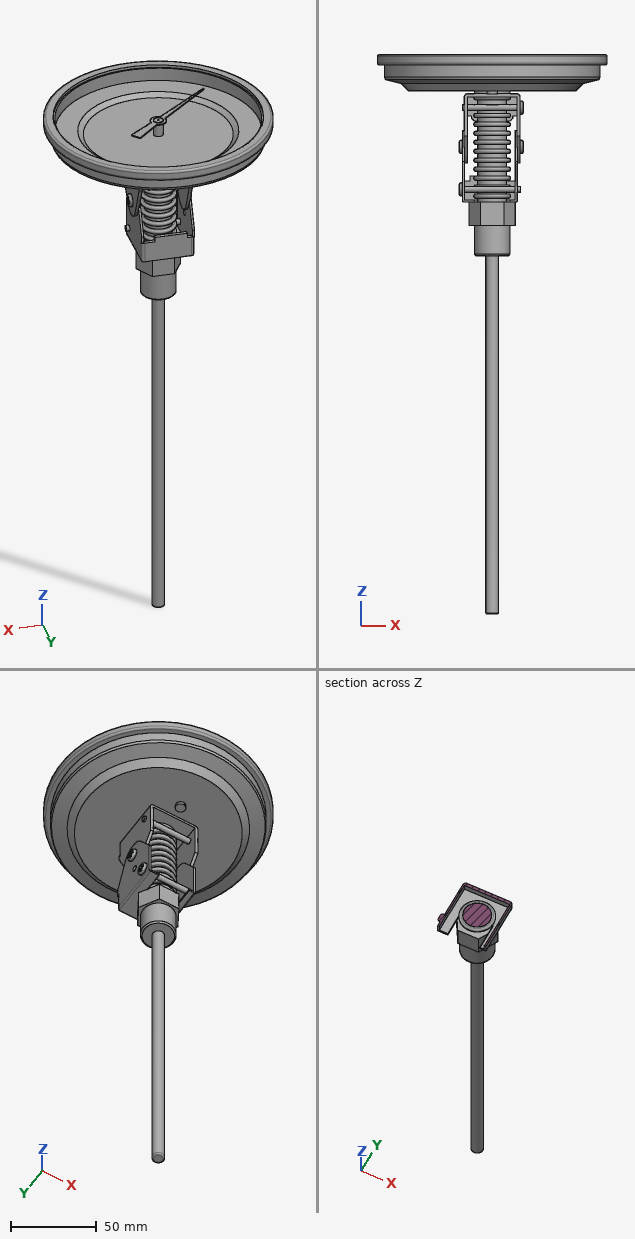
import cadquery as cq
import math

TOP_Z = 326.5
CASE_BOTTOM_Z = 305.5
UPPER_BRACKET_TOP_Z = 303.8
PIVOT_Z = 272.7
LOWER_BRACKET_BOTTOM_Z = 240.5
HEX_BOTTOM_Z = 226.7
COLLAR_BOTTOM_Z = 209.0

BEZEL_R = 134.2 / 2
BEZEL_HEIGHT = 6.2
BEZEL_ROUND = 1.3
CASE_R = 126.0 / 2
CASE_WALL_BOTTOM_Z = 313.5
CASE_EDGE_R = 62.5
CASE_EDGE_Z = 312.0
BACK_STEP_R = 53.2
BACK_STEP_Z = 309.5
BACK_R = 49.0
BACK_SCREW_D = 6.2
BACK_SCREW_Y = -24.2
BACK_SCREW_HEIGHT = 2.0

LIP_R = 122.8 / 2
DIAL_R = 121.0 / 2
LIP_DEPTH = 1.5
DIAL_Z = 317.0
DIAL_STEP_DEPTH = 2.3
DIAL_STEP_OUTER_R = 47.0
DIAL_STEP_INNER_R = 43.8

POINTER_Z = 323.0
POINTER_THICKNESS = 0.5
POINTER_ANGLE = 220.5
POINTER_TIP_R = 46.7
POINTER_ROOT_WIDTH = 3.5
POINTER_TIP_WIDTH = 0.5
TAIL_LENGTH = 23.2
TAIL_END_WIDTH = 6.2
HUB_D = 9.5
POST_D = 6.0
POST_TIP_HEIGHT = 0.3
POST_HOLE_D = 0.75
POST_HOLE_DEPTH = 1.0

STEM_D = 7.5
STEM_ROUND = 1.0
COLLAR_D = 21.0
COLLAR_CHAMFER = 1.0
HEX_ACROSS_CORNERS = 27.0

BELLOWS_ROOT_R = 8.5
BELLOWS_CREST_R = 21.5 / 2
RING_COUNT = 12
TOP_RING_Z = 301.5
RING_PITCH = 5.2
RING_THICKNESS = 2.5

BRACKET_HALF_DEPTH = 17.3
HINGE_R = 9.5
UPPER_HALF_WIDTH = 16.3
UPPER_SHEET = 2.0
UPPER_BACK_SHOULDER = 15.5
UPPER_FRONT_SHOULDER = 6.2
UPPER_BEND_R = 2.0
LOWER_LEFT_X = -17.3
LOWER_RIGHT_X = 14.7
LOWER_SHEET = 1.3
LOWER_BEND_R = 1.0
LOWER_BACK_SHOULDER = 15.7
LOWER_FRONT_SHOULDER = 8.5
LOWER_SLOT_WIDTH = 21.0
BACK_TAB_DEPTH = 2.3
BACK_BEND_R = 2.0
UPPER_TAB_BOTTOM_Z = 290.7
UPPER_TONGUE_BOTTOM_Z = 287.8
UPPER_TONGUE_HALF_WIDTH = 12.0
UPPER_TONGUE_CHAMFER = 1.5
LOWER_TAB_TOP_Z = 252.8
LOWER_TONGUE_TOP_Z = 255.8
LOWER_TONGUE_LEFT_X = -13.0
LOWER_TONGUE_RIGHT_X = 6.5
SIGHT_HOLE_D = 3.5
SIGHT_HOLE_Y = -1.3
SIGHT_HOLE_Z = 259.5

PIN_D = 3.5
PIN_Y = -11.0
UPPER_PIN_Z = 295.5
LOWER_PIN_Z = 248.0
SCREW_HEAD_D = 8.0
SCREW_HEAD_HEIGHT = 2.0
SCREW_HEAD_ROUND = 1.3
RECESS_LENGTH = 5.0
RECESS_WIDTH = 1.3
RECESS_DEPTH = 1.0
UPPER_PIN_TIP = 1.0
LOWER_PIN_TIP = 2.0


def cylinder(diameter, bottom_z, top_z, x=0.0, y=0.0):
    """Upright cylinder between two heights."""
    return (
        cq.Workplane("XY", origin=(x, y, bottom_z))
        .circle(diameter / 2)
        .extrude(top_z - bottom_z)
    )


def rod_along_x(diameter, start_x, end_x, y, z):
    """Cylinder lying along X."""
    return (
        cq.Workplane("YZ", origin=(start_x, y, z))
        .circle(diameter / 2)
        .extrude(end_x - start_x)
    )


def block(x_min, x_max, y_min, y_max, z_min, z_max):
    """Box given by its limits."""
    return cq.Workplane("XY", origin=(x_min, y_min, z_min)).box(
        x_max - x_min, y_max - y_min, z_max - z_min, centered=False
    )


def gauge_case():
    """Round case with a rounded bezel, stepped back and sunken dial."""
    bezel_bottom_z = TOP_Z - BEZEL_HEIGHT
    bezel = cylinder(2 * BEZEL_R, bezel_bottom_z, TOP_Z).edges().fillet(BEZEL_ROUND)
    body = (
        cq.Workplane("XZ")
        .moveTo(0, CASE_BOTTOM_Z)
        .lineTo(BACK_R, CASE_BOTTOM_Z)
        .lineTo(BACK_STEP_R, BACK_STEP_Z)
        .lineTo(CASE_EDGE_R, CASE_EDGE_Z)
        .lineTo(CASE_R, CASE_WALL_BOTTOM_Z)
        .lineTo(CASE_R, bezel_bottom_z + BEZEL_HEIGHT / 2)
        .lineTo(0, bezel_bottom_z + BEZEL_HEIGHT / 2)
        .close()
        .revolve(360, (0, 0, 0), (0, 1, 0))
    )
    dial_floor_z = DIAL_Z - DIAL_STEP_DEPTH
    recess = (
        cq.Workplane("XZ")
        .moveTo(0, dial_floor_z)
        .lineTo(DIAL_STEP_INNER_R, dial_floor_z)
        .lineTo(DIAL_STEP_OUTER_R, DIAL_Z)
        .lineTo(DIAL_R, DIAL_Z)
        .lineTo(DIAL_R, TOP_Z - LIP_DEPTH)
        .lineTo(LIP_R, TOP_Z - LIP_DEPTH)
        .lineTo(LIP_R, TOP_Z)
        .lineTo(0, TOP_Z)
        .close()
        .revolve(360, (0, 0, 0), (0, 1, 0))
    )
    back_screw = cylinder(
        BACK_SCREW_D, CASE_BOTTOM_Z - BACK_SCREW_HEIGHT, CASE_WALL_BOTTOM_Z, y=BACK_SCREW_Y
    )
    return bezel.union(body).cut(recess).union(back_screw)


def pointer():
    """Tapered needle with a widening tail, on a post rising from the dial."""
    needle = (
        cq.Workplane("XY")
        .moveTo(-TAIL_LENGTH, -TAIL_END_WIDTH / 2)
        .lineTo(0, -POINTER_ROOT_WIDTH / 2)
        .lineTo(POINTER_TIP_R, -POINTER_TIP_WIDTH / 2)
        .lineTo(POINTER_TIP_R, POINTER_TIP_WIDTH / 2)
        .lineTo(0, POINTER_ROOT_WIDTH / 2)
        .lineTo(-TAIL_LENGTH, TAIL_END_WIDTH / 2)
        .close()
        .extrude(POINTER_THICKNESS)
        .rotate((0, 0, 0), (0, 0, 1), POINTER_ANGLE)
        .translate((0, 0, POINTER_Z))
    )
    needle_top_z = POINTER_Z + POINTER_THICKNESS
    hub = cylinder(HUB_D, POINTER_Z, needle_top_z)
    post_top_z = needle_top_z + POST_TIP_HEIGHT
    post = cylinder(POST_D, CASE_BOTTOM_Z, post_top_z)
    post_hole = cylinder(POST_HOLE_D, post_top_z - POST_HOLE_DEPTH, post_top_z)
    return needle.union(hub).union(post).cut(post_hole)


def stem_and_fittings():
    """Long stem, round collar, hexagon and the neck under the case."""
    stem = cylinder(STEM_D, 0, COLLAR_BOTTOM_Z).faces("<Z").edges().fillet(STEM_ROUND)
    collar = (
        cylinder(COLLAR_D, COLLAR_BOTTOM_Z, HEX_BOTTOM_Z)
        .faces("<Z")
        .edges()
        .chamfer(COLLAR_CHAMFER)
    )
    hexagon = (
        cq.Workplane("XY", origin=(0, 0, HEX_BOTTOM_Z))
        .polygon(6, HEX_ACROSS_CORNERS)
        .extrude(LOWER_BRACKET_BOTTOM_Z - HEX_BOTTOM_Z)
    )
    neck = cylinder(COLLAR_D, UPPER_BRACKET_TOP_Z - UPPER_SHEET, CASE_BOTTOM_Z)
    return stem.union(collar).union(hexagon).union(neck)


def bellows():
    """Core with evenly stacked rings that have round rims."""
    profile = cq.Workplane("XZ").moveTo(0, CASE_BOTTOM_Z).lineTo(BELLOWS_ROOT_R, CASE_BOTTOM_Z)
    rim_start_r = BELLOWS_CREST_R - RING_THICKNESS / 2
    for ring in range(RING_COUNT):
        ring_z = TOP_RING_Z - ring * RING_PITCH
        ring_top_z = ring_z + RING_THICKNESS / 2
        ring_bottom_z = ring_z - RING_THICKNESS / 2
        profile = (
            profile.lineTo(BELLOWS_ROOT_R, ring_top_z)
            .lineTo(rim_start_r, ring_top_z)
            .threePointArc((BELLOWS_CREST_R, ring_z), (rim_start_r, ring_bottom_z))
            .lineTo(BELLOWS_ROOT_R, ring_bottom_z)
        )
    return (
        profile.lineTo(BELLOWS_ROOT_R, LOWER_BRACKET_BOTTOM_Z)
        .lineTo(0, LOWER_BRACKET_BOTTOM_Z)
        .close()
        .revolve(360, (0, 0, 0), (0, 1, 0))
    )


def hinge_tangent(side, shoulder):
    """Touch point, relative to the pivot, of the slanted edge and the hinge arc.

    side is +1 for the back edge and -1 for the front edge; shoulder is the
    distance from the pivot to the shoulder, and the hinge arc bulges away from it.
    """
    distance = math.hypot(BRACKET_HALF_DEPTH, shoulder)
    angle = math.acos(HINGE_R / distance) - math.atan2(shoulder, BRACKET_HALF_DEPTH)
    return side * HINGE_R * math.cos(angle), -HINGE_R * math.sin(angle)


def hinge_plate(start_x, thickness, base_z, back_shoulder, front_shoulder):
    """Side plate that narrows from its base to a round end about the pivot."""
    toward_base = math.copysign(1, base_z - PIVOT_Z)
    back_y, back_rise = hinge_tangent(1, back_shoulder)
    front_y, front_rise = hinge_tangent(-1, front_shoulder)
    return (
        cq.Workplane("YZ", origin=(start_x, 0, 0))
        .moveTo(-BRACKET_HALF_DEPTH, base_z)
        .lineTo(BRACKET_HALF_DEPTH, base_z)
        .lineTo(BRACKET_HALF_DEPTH, PIVOT_Z + toward_base * back_shoulder)
        .lineTo(back_y, PIVOT_Z + toward_base * back_rise)
        .threePointArc(
            (0, PIVOT_Z - toward_base * HINGE_R),
            (front_y, PIVOT_Z + toward_base * front_rise),
        )
        .lineTo(-BRACKET_HALF_DEPTH, PIVOT_Z + toward_base * front_shoulder)
        .close()
        .extrude(thickness)
    )


def back_bend_cutter(corner_x, inward, bottom_z, top_z):
    """Sliver outside the rounded vertical bend between a side plate and the back tab."""
    axis_x = corner_x + inward * BACK_BEND_R
    axis_y = BRACKET_HALF_DEPTH - BACK_BEND_R
    corner = block(
        min(corner_x, axis_x), max(corner_x, axis_x), axis_y, BRACKET_HALF_DEPTH, bottom_z, top_z
    )
    return corner.cut(cylinder(2 * BACK_BEND_R, bottom_z, top_z, axis_x, axis_y))


def upper_bracket():
    """Inverted channel fixed under the case, with a tongue at the back."""
    bracket = block(
        -UPPER_HALF_WIDTH, UPPER_HALF_WIDTH,
        -BRACKET_HALF_DEPTH, BRACKET_HALF_DEPTH,
        UPPER_BRACKET_TOP_Z - UPPER_SHEET, UPPER_BRACKET_TOP_Z,
    )
    for start_x in (-UPPER_HALF_WIDTH, UPPER_HALF_WIDTH - UPPER_SHEET):
        bracket = bracket.union(
            hinge_plate(
                start_x, UPPER_SHEET, UPPER_BRACKET_TOP_Z, UPPER_BACK_SHOULDER, UPPER_FRONT_SHOULDER
            )
        )
    tab = block(
        -UPPER_HALF_WIDTH, UPPER_HALF_WIDTH,
        BRACKET_HALF_DEPTH - BACK_TAB_DEPTH, BRACKET_HALF_DEPTH,
        UPPER_TAB_BOTTOM_Z, UPPER_BRACKET_TOP_Z,
    )
    tongue = (
        block(
            -UPPER_TONGUE_HALF_WIDTH, UPPER_TONGUE_HALF_WIDTH,
            BRACKET_HALF_DEPTH - BACK_TAB_DEPTH, BRACKET_HALF_DEPTH,
            UPPER_TONGUE_BOTTOM_Z, UPPER_BRACKET_TOP_Z,
        )
        .edges("|Y and <Z")
        .chamfer(UPPER_TONGUE_CHAMFER)
    )
    bracket = bracket.union(tab).union(tongue).edges("|Y and >Z").fillet(UPPER_BEND_R)
    for inward in (1, -1):
        corner_x = -inward * UPPER_HALF_WIDTH
        bracket = bracket.cut(
            back_bend_cutter(corner_x, inward, UPPER_TAB_BOTTOM_Z, UPPER_BRACKET_TOP_Z)
        )
    return bracket


def lower_bracket():
    """Channel resting on the hexagon, shifted sideways against the upper one."""
    base = block(
        LOWER_LEFT_X, LOWER_RIGHT_X,
        -BRACKET_HALF_DEPTH, BRACKET_HALF_DEPTH,
        LOWER_BRACKET_BOTTOM_Z, LOWER_BRACKET_BOTTOM_Z + LOWER_SHEET,
    )
    slot = block(
        -LOWER_SLOT_WIDTH / 2, LOWER_SLOT_WIDTH / 2,
        -BRACKET_HALF_DEPTH, 0,
        LOWER_BRACKET_BOTTOM_Z, LOWER_BRACKET_BOTTOM_Z + LOWER_SHEET,
    )
    bracket = base.cut(slot)
    for start_x in (LOWER_LEFT_X, LOWER_RIGHT_X - LOWER_SHEET):
        bracket = bracket.union(
            hinge_plate(
                start_x, LOWER_SHEET, LOWER_BRACKET_BOTTOM_Z, LOWER_BACK_SHOULDER, LOWER_FRONT_SHOULDER
            )
        )
    tab = block(
        LOWER_LEFT_X, LOWER_RIGHT_X,
        BRACKET_HALF_DEPTH - BACK_TAB_DEPTH, BRACKET_HALF_DEPTH,
        LOWER_BRACKET_BOTTOM_Z, LOWER_TAB_TOP_Z,
    )
    tongue = block(
        LOWER_TONGUE_LEFT_X, LOWER_TONGUE_RIGHT_X,
        BRACKET_HALF_DEPTH - BACK_TAB_DEPTH, BRACKET_HALF_DEPTH,
        LOWER_BRACKET_BOTTOM_Z, LOWER_TONGUE_TOP_Z,
    )
    sight_hole = rod_along_x(
        SIGHT_HOLE_D, LOWER_LEFT_X, LOWER_LEFT_X + LOWER_SHEET, SIGHT_HOLE_Y, SIGHT_HOLE_Z
    )
    bracket = bracket.union(tab).union(tongue).cut(sight_hole)
    bracket = bracket.edges("|Y and <Z and (<X or >X)").fillet(LOWER_BEND_R)
    for corner_x, inward in ((LOWER_LEFT_X, 1), (LOWER_RIGHT_X, -1)):
        bracket = bracket.cut(
            back_bend_cutter(corner_x, inward, LOWER_BRACKET_BOTTOM_Z, LOWER_TAB_TOP_Z)
        )
    return bracket


def screw_head(seat_x, direction, y, z):
    """Domed round head standing on a plate face, with a cross recess."""
    plane = cq.Plane(origin=(seat_x, y, z), xDir=(0, 1, 0), normal=(direction, 0, 0))
    head = (
        cq.Workplane(plane)
        .circle(SCREW_HEAD_D / 2)
        .extrude(SCREW_HEAD_HEIGHT)
        .faces(">X" if direction > 0 else "<X")
        .edges()
        .fillet(SCREW_HEAD_ROUND)
    )
    recess = (
        cq.Workplane(plane)
        .workplane(offset=SCREW_HEAD_HEIGHT - RECESS_DEPTH)
        .rect(RECESS_LENGTH, RECESS_WIDTH)
        .extrude(RECESS_DEPTH)
    )
    axis_end = (seat_x + direction, y, z)
    return head.cut(recess).cut(recess.rotate((seat_x, y, z), axis_end, 90))


def pins_and_screws():
    """Cross pins near the two bases and the pivot screws at the hinge."""
    upper_pin = rod_along_x(
        PIN_D, -UPPER_HALF_WIDTH - UPPER_PIN_TIP, UPPER_HALF_WIDTH, PIN_Y, UPPER_PIN_Z
    )
    lower_pin = rod_along_x(
        PIN_D, LOWER_LEFT_X, LOWER_RIGHT_X + LOWER_PIN_TIP, PIN_Y, LOWER_PIN_Z
    )
    return (
        upper_pin.union(lower_pin)
        .union(screw_head(UPPER_HALF_WIDTH, 3.3, PIN_Y, UPPER_PIN_Z))
        .union(screw_head(LOWER_LEFT_X, -3.3, PIN_Y, LOWER_PIN_Z))
        .union(screw_head(UPPER_HALF_WIDTH, 3.3, 0, PIVOT_Z))
        .union(screw_head(LOWER_LEFT_X, -3.3, 0, PIVOT_Z))
    )


result = (
    gauge_case()
    .union(pointer())
    .union(stem_and_fittings())
    .union(bellows())
    .union(upper_bracket())
    .union(lower_bracket())
    .union(pins_and_screws())
)